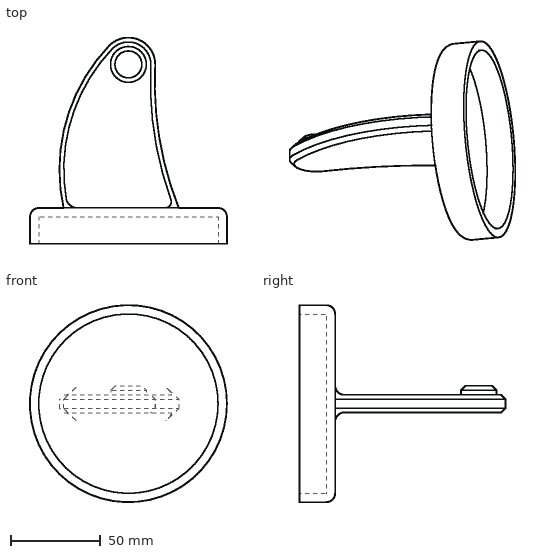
import cadquery as cq
import math

CUP_RADIUS = 55.0
CUP_DEPTH = 20.0
CUP_WALL = 5.0
CUP_FLOOR = 5.0
CUP_EDGE_FILLET = 5.0

ARM_THICKNESS = 10.0
ARM_CHAMFER = 2.5
ARM_ROOT_FILLET = 5.0
ARM_ROOT_OVERLAP = 2.0
TIP_RADIUS = 15.0
TIP_Y = 100.0

OUTER_EDGE_RADIUS = 100.0
OUTER_EDGE_CENTER_Y = 41.3
INNER_EDGE_RADIUS = 190.0
INNER_EDGE_CENTER_Y = 90.0

PIN_RADIUS = 10.0
PIN_HEIGHT = 5.0
PIN_CHAMFER = 2.5


def make_cup():
    """Disc with a rounded back edge, hollowed from its front face at Y = 0."""
    front = cq.Workplane("XZ")
    disc = front.circle(CUP_RADIUS).extrude(-CUP_DEPTH)
    disc = disc.faces(">Y").edges().fillet(CUP_EDGE_FILLET)
    recess = front.circle(CUP_RADIUS - CUP_WALL).extrude(-(CUP_DEPTH - CUP_FLOOR))
    return disc.cut(recess)


def tangent_center_x(center_distance, center_y):
    """X of an edge-arc centre lying at the given distance from the tip centre."""
    return math.sqrt(center_distance ** 2 - (TIP_Y - center_y) ** 2)


def point_left_of(center, radius, y):
    """Point at height y on the -X half of a circle."""
    return center[0] - math.sqrt(radius ** 2 - (y - center[1]) ** 2), y


def tip_point_on_line(center, side):
    """Point of the tip circle on its line to an edge-arc centre (+1 toward it, -1 away)."""
    reach = side * TIP_RADIUS / math.hypot(center[0], center[1] - TIP_Y)
    return center[0] * reach, TIP_Y + (center[1] - TIP_Y) * reach


def make_arm():
    """Curved plate with both faces chamfered all along its side edges."""
    root_y = CUP_DEPTH - ARM_ROOT_OVERLAP
    outer_distance = OUTER_EDGE_RADIUS - TIP_RADIUS
    inner_distance = INNER_EDGE_RADIUS + TIP_RADIUS
    outer_center = (tangent_center_x(outer_distance, OUTER_EDGE_CENTER_Y), OUTER_EDGE_CENTER_Y)
    inner_center = (tangent_center_x(inner_distance, INNER_EDGE_CENTER_Y), INNER_EDGE_CENTER_Y)

    outer_root = point_left_of(outer_center, OUTER_EDGE_RADIUS, root_y)
    outer_middle = point_left_of(outer_center, OUTER_EDGE_RADIUS, OUTER_EDGE_CENTER_Y)
    outer_tip = tip_point_on_line(outer_center, -1)
    tip_top = (0, TIP_Y + TIP_RADIUS)
    inner_tip = tip_point_on_line(inner_center, 1)
    inner_middle = point_left_of(inner_center, INNER_EDGE_RADIUS, (root_y + TIP_Y) / 2)
    inner_root = point_left_of(inner_center, INNER_EDGE_RADIUS, root_y)

    plate = (
        cq.Workplane("XY", origin=(0, 0, -ARM_THICKNESS / 2))
        .moveTo(*outer_root)
        .threePointArc(outer_middle, outer_tip)
        .threePointArc(tip_top, inner_tip)
        .threePointArc(inner_middle, inner_root)
        .close()
        .extrude(ARM_THICKNESS)
    )
    return plate.faces("<Z or >Z").edges("not <Y").chamfer(ARM_CHAMFER)


def make_pin():
    """Round pin with a chamfered top edge, standing on the arm."""
    pin_top_z = ARM_THICKNESS / 2 + PIN_HEIGHT
    pin = cq.Workplane("XY", origin=(0, TIP_Y, 0)).circle(PIN_RADIUS).extrude(pin_top_z)
    return pin.faces(">Z").edges().chamfer(PIN_CHAMFER)


def fillet_arm_root(body):
    """Round the two straight corners where the arm faces meet the back of the cup."""
    near_y = CUP_DEPTH - ARM_ROOT_OVERLAP / 2
    far_y = CUP_DEPTH + ARM_ROOT_OVERLAP / 2
    root_zone = cq.selectors.BoxSelector(
        (-CUP_RADIUS, near_y, -ARM_THICKNESS),
        (CUP_RADIUS, far_y, ARM_THICKNESS),
    )
    return body.edges("|X").edges(root_zone).fillet(ARM_ROOT_FILLET)


cup_with_arm = fillet_arm_root(make_cup().union(make_arm()))
result = cup_with_arm.union(make_pin())